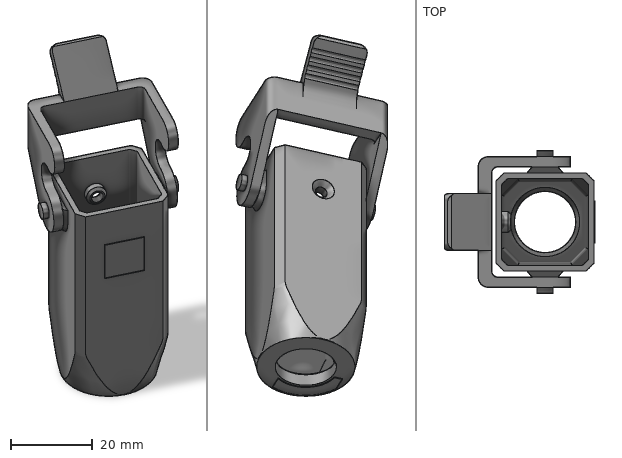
import cadquery as cq
import math


body_width = 24.1
body_height = 56.85
corner_chamfer = 2.0
rim_height = 0.2
cone_height = 13.7
shoulder_height = 1.25
shoulder_depth = 0.2
wall = 1.4
pocket_chamfer = 1.4
floor_thickness = 4.2
floor_fillet = 1.0
pocket_edge_fillet = 0.5
corner_slope_distance = 11.95
bore_diameter = 15.0
bore_chamfer = 1.0

screw_z = 46.0
screw_diameter = 3.0
countersink_diameter = 5.8
screw_boss_diameter = 5.2
screw_boss_length = 2.25
screw_boss_chamfer = 0.7

pad_height = 0.25
side_pad_size = 10.2
side_pad_z = 42.05
base_pad_length = 14.8
base_pad_width = 10.1
base_pad_center = (6.35, -2.7)
base_pad_inset = 0.6

pivot_z = 51.8
pin_diameter = 4.0
pin_span = 35.0
lever_width = 32.0
lever_arm_thickness = 2.5
lever_back_thickness = 3.35
lever_back_x = -16.4
lever_back_height = 9.8
lever_top = 21.65
eye_radius = 5.5
notch_radius = 4.0
nose_radius = 4.2
bend_outer_radius = 2.5
bend_inner_radius = 1.5

boss_base_radius = 4.4
boss_tip_radius = 3.2

tab_angle = 45
tab_width = 14.0
tab_thickness = 2.5
tab_blend_radius = 9.3
tab_end_chamfer = 0.7
tab_corner_radius = 2.0
tab_length = 14.6
groove_radius = 0.8
groove_depth = 0.25
groove_count = 4
groove_pitch = 2.2
first_groove = 4.7

half_body = body_width / 2
half_pocket = half_body - wall
half_gap = lever_width / 2 - lever_arm_thickness
corner_radius = math.hypot(half_body, half_body - corner_chamfer)
diagonal = math.sqrt(2)


def octagon_prism(half_width, chamfer, bottom, height):
    """Upright square prism with chamfered corners."""
    block = cq.Workplane("XY").workplane(offset=bottom).rect(2 * half_width, 2 * half_width)
    return block.extrude(height).edges("|Z").chamfer(chamfer)


def make_outer_body():
    """Octagonal housing whose corners run into a round foot along a cone."""
    envelope = (
        cq.Workplane("XZ")
        .moveTo(0, 0)
        .lineTo(half_body, 0)
        .lineTo(half_body, rim_height)
        .lineTo(corner_radius - shoulder_depth, cone_height)
        .lineTo(corner_radius, cone_height + shoulder_height)
        .lineTo(corner_radius, body_height)
        .lineTo(0, body_height)
        .close()
        .revolve(360, (0, 0), (0, 1))
    )
    return octagon_prism(half_body, corner_chamfer, 0, body_height).intersect(envelope)


def make_pocket():
    """Cavity open at the top, with sloped lower corners and a rounded floor edge."""
    depth = body_height - floor_thickness
    cavity = octagon_prism(half_pocket, pocket_chamfer, floor_thickness, depth)
    cavity = cavity.edges("|Z").fillet(pocket_edge_fillet)
    slope = math.degrees(math.atan((corner_radius - half_body) / cone_height))
    corner_limit = (
        cq.Workplane("XY")
        .workplane(offset=floor_thickness)
        .transformed(rotate=(0, 0, 45))
        .rect(2 * corner_slope_distance, 2 * corner_slope_distance)
        .extrude(depth, taper=-slope)
    )
    return cavity.intersect(corner_limit).faces("<Z").edges().fillet(floor_fillet)


def make_bore():
    """Cable bore through the floor, chamfered on the inside."""
    radius = bore_diameter / 2
    bore = cq.Workplane("XY").circle(radius).extrude(floor_thickness)
    chamfer = cq.Solid.makeCone(
        radius, radius + bore_chamfer, bore_chamfer, cq.Vector(0, 0, floor_thickness - bore_chamfer)
    )
    return bore.union(cq.Workplane(chamfer))


def add_screw_hole(body):
    """Boss on the inner -X wall with a countersunk hole through it."""
    boss = (
        cq.Workplane("YZ", origin=(-half_body + wall / 2, 0, screw_z))
        .circle(screw_boss_diameter / 2)
        .extrude(wall / 2 + screw_boss_length)
        .faces(">X")
        .chamfer(screw_boss_chamfer)
    )
    hole = (
        cq.Workplane("YZ", origin=(-half_body, 0, screw_z))
        .circle(screw_diameter / 2)
        .extrude(wall + screw_boss_length)
    )
    countersink = cq.Solid.makeCone(
        countersink_diameter / 2,
        screw_diameter / 2,
        (countersink_diameter - screw_diameter) / 2,
        cq.Vector(-half_body, 0, screw_z),
        cq.Vector(1, 0, 0),
    )
    return body.union(boss).cut(hole).cut(cq.Workplane(countersink))


def make_side_pad():
    """Square pad standing on the +X side."""
    return (
        cq.Workplane("YZ", origin=(half_body, 0, side_pad_z))
        .rect(side_pad_size, side_pad_size)
        .extrude(pad_height)
    )


def make_base_pad():
    """Pad under the foot, kept between the bore and the rim."""
    ring = (
        cq.Workplane("XY")
        .circle(half_body - base_pad_inset)
        .circle(bore_diameter / 2 + base_pad_inset)
        .extrude(-pad_height)
    )
    plate = cq.Workplane("XY").center(*base_pad_center).rect(base_pad_width, base_pad_length)
    return ring.intersect(plate.extrude(-pad_height))


def make_pivot(side):
    """Pin and tapered boss on one side of the housing (side is +1 or -1 along Y)."""
    half_height = pin_diameter / 2
    boss_length = half_gap - half_body
    outward = cq.Vector(0, side, 0)
    pin = cq.Solid.makeCylinder(
        half_height, pin_span / 2 - half_body, cq.Vector(0, side * half_body, pivot_z), outward
    )
    cone = cq.Solid.makeCone(
        boss_base_radius,
        boss_tip_radius,
        boss_length,
        cq.Vector(0, side * half_body, pivot_z - half_height),
        outward,
    )
    lower_half = cq.Workplane(cone).intersect(
        cq.Workplane("XY", origin=(0, 0, pivot_z - half_height))
        .rect(4 * boss_base_radius, 2 * lever_width)
        .extrude(-2 * boss_base_radius)
    )
    upright = (
        cq.Workplane("XY", origin=(0, 0, pivot_z - half_height))
        .polyline(
            [
                (-boss_base_radius, side * half_body),
                (-boss_tip_radius, side * half_gap),
                (boss_tip_radius, side * half_gap),
                (boss_base_radius, side * half_body),
            ]
        )
        .close()
        .extrude(pin_diameter)
    )
    return upright.union(lower_half).union(cq.Workplane(pin))


def lever_plane():
    """Plane of the lever profile, centred on the pivot axis."""
    return cq.Workplane("XZ", origin=(0, 0, pivot_z))


def make_lever():
    """U-shaped locking lever: two hooked arms joined by a back plate."""
    back_bottom = lever_top - lever_back_height
    notch_z = eye_radius + notch_radius
    nose_z = lever_top - nose_radius
    reach = notch_radius + nose_radius
    nose_x = math.sqrt(reach**2 - (nose_z - notch_z) ** 2)
    meet_x = nose_x * notch_radius / reach
    meet_z = notch_z + (nose_z - notch_z) * notch_radius / reach
    corner_distance = math.hypot(lever_back_x, back_bottom)
    tangent_angle = math.atan2(back_bottom, lever_back_x) + math.acos(eye_radius / corner_distance)
    tangent = (eye_radius * math.cos(tangent_angle), eye_radius * math.sin(tangent_angle))

    blank = (
        lever_plane()
        .moveTo(lever_back_x, lever_top)
        .lineTo(lever_back_x, back_bottom)
        .lineTo(*tangent)
        .threePointArc((eye_radius, 0), (0, eye_radius))
        .threePointArc((-notch_radius, notch_z), (meet_x, meet_z))
        .threePointArc((nose_x + nose_radius, nose_z), (nose_x, lever_top))
        .close()
        .extrude(lever_width / 2, both=True)
    )
    span = nose_x + nose_radius - lever_back_x
    plan = (
        cq.Workplane("XY")
        .box(2 * span, lever_width, 2 * body_height, centered=(False, True, False))
        .edges("|Z and <X")
        .fillet(bend_outer_radius)
        .translate((lever_back_x, 0, 0))
    )
    gap = (
        cq.Workplane("XY")
        .box(2 * span, 2 * half_gap, 2 * body_height, centered=(False, True, False))
        .edges("|Z and <X")
        .fillet(bend_inner_radius)
        .translate((lever_back_x + lever_back_thickness, 0, 0))
    )
    below_back = (
        cq.Workplane("XY")
        .box(2 * span, 2 * half_gap, body_height, centered=(False, True, False))
        .translate((lever_back_x, 0, pivot_z + back_bottom - body_height))
    )
    return blank.intersect(plan).cut(gap).cut(below_back)


def make_tab():
    """Thumb tab leaning outward at 45 degrees, with grip grooves on its outer face."""
    root = (lever_back_x + lever_back_thickness, lever_top)

    def tab_point(along, depth):
        """Point at a distance along the tab and a depth below its upper face."""
        return (root[0] - (along + depth) / diagonal, root[1] + (along - depth) / diagonal)

    face_corner_z = root[1] + lever_back_thickness - tab_thickness * diagonal
    tangent_length = tab_blend_radius * math.tan(math.radians(tab_angle / 2))
    blend_center = (lever_back_x - tab_blend_radius, face_corner_z - tangent_length)

    def blend_point(degrees, radius=tab_blend_radius):
        """Point around the blend centre; 0 degrees is on the back plate."""
        angle = math.radians(degrees)
        return (
            blend_center[0] + radius * math.cos(angle),
            blend_center[1] + radius * math.sin(angle),
        )

    tab = (
        lever_plane()
        .moveTo(*root)
        .lineTo(*tab_point(tab_length - tab_end_chamfer, 0))
        .lineTo(*tab_point(tab_length, tab_end_chamfer))
        .lineTo(*tab_point(tab_length, tab_thickness - tab_end_chamfer))
        .lineTo(*tab_point(tab_length - tab_end_chamfer, tab_thickness))
        .lineTo(*blend_point(tab_angle))
        .threePointArc(blend_point(tab_angle / 2), blend_point(0))
        .lineTo(root[0], blend_center[1])
        .close()
        .extrude(tab_width / 2, both=True)
    )

    rounded = (
        cq.Workplane("XY")
        .box(2 * tab_length, tab_width, 4 * tab_length)
        .edges("|Z and <X")
        .fillet(tab_corner_radius)
        .translate((tab_length, 0, 0))
        .rotate((0, 0, 0), (0, 1, 0), tab_angle)
    )
    end_x, end_z = tab_point(tab_length, 0)
    tab = tab.intersect(rounded.translate((end_x, 0, pivot_z + end_z)))

    groove_offset = groove_radius - groove_depth
    for index in range(groove_count):
        distance = first_groove - index * groove_pitch
        straight = max(distance, 0)
        around = tab_angle + math.degrees(min(distance, 0) / tab_blend_radius)
        start_x, start_z = blend_point(around, tab_blend_radius - groove_offset)
        center = (start_x - straight / diagonal, start_z + straight / diagonal)
        groove = lever_plane().center(*center).circle(groove_radius).extrude(tab_width / 2, both=True)
        tab = tab.cut(groove)
    return tab


body = make_outer_body().cut(make_pocket()).cut(make_bore())
body = add_screw_hole(body)
body = body.union(make_side_pad()).union(make_base_pad())
for side in (1, -1):
    body = body.union(make_pivot(side))

result = body.union(make_lever()).union(make_tab())